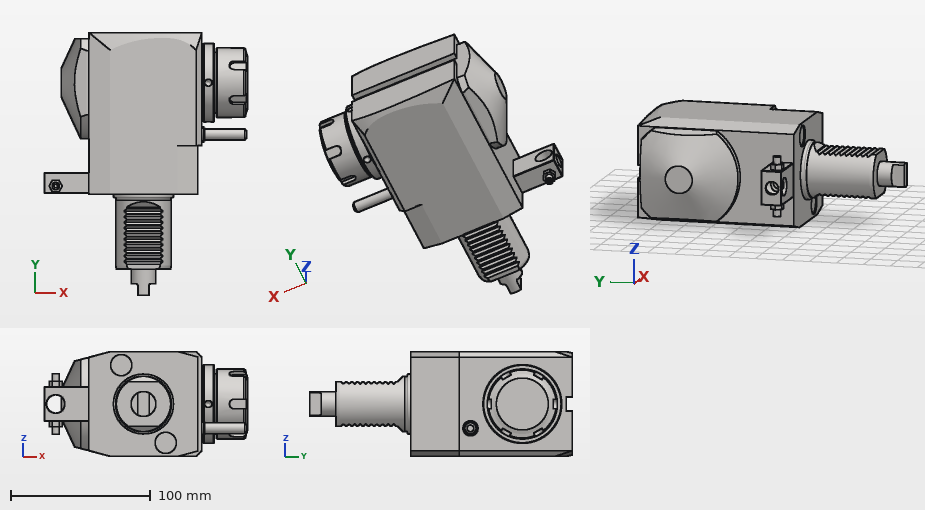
import cadquery as cq
import math


body_length = 115.8
half_height = 37.5
left_x = -39.0
right_x = 41.8
left_bevel_x = -24.0
bevel_angle = math.radians(15)
right_chamfer = 4.1
step_y = 35.0
step_bevel_x = 24.5
step_x = 39.0
bevel_slope = math.tan(bevel_angle)
left_edge_z = half_height - (left_bevel_x - left_x) * bevel_slope
step_edge_z = half_height - (step_x - step_bevel_x) * bevel_slope
right_edge_z = half_height - right_chamfer
slot_width = 9.8
slot_depth = 4.3

slope_apex = (24.4, 63.5, 50.4)
back_crown = [(-23.4, 34.9), (13.0, 36.5), (31.5, 35.5)]
slope_reach = 0.375
cutter_top = half_height + 5.0

recess_radius = 7.6
recess_depth = 1.0
recess_x = 15.9
recess_z = 27.8

spindle_y = 80.0
cap_radius = 40.2
cap_tip_radius = 10.0
cap_rim_x = -45.0
cap_tip_x = -59.0
cap_half_height = 33.0

shank_length = 53.4
shank_radius = 20.0
shank_end_chamfer = (2.6, 0.6)
collar_radius = 21.5
collar_width = 2.4
groove_radius = 19.6
groove_end = 4.0
flat_z = 16.0
flat_start = 5.2
tooth_pitch = 4.0
tooth_count = 10
first_root_y = -12.0
tooth_depth = 1.6
tooth_half_width = 1.8

tang_radius = 8.9
tang_shoulder_y = -64.0
tang_end_y = -72.2
tang_half_width = 4.1
tang_root_fillet = 1.0

block_end_x = -71.0
block_low_y = 0.7
block_width_y = 15.0
block_height = 25.0
block_edge_chamfer = 0.4
coolant_x = -62.8
coolant_radius = 6.5
inlet_y = 7.6
inlet_radius = 4.8
inlet_end_x = -50.0
passage_radius = 1.2
set_screw_y = 6.0
set_screw_radius = 2.65
set_screw_end_z = 21.8
screw_socket_across_corners = 3.0
screw_socket_depth = 2.0
screw_bore_radius = 2.0
screw_bore_end_z = 7.5
nut_across_corners = 9.5
nut_thickness = 3.9

ring_start_x = 42.8
ring_end_x = 50.5
ring_radius = 28.2
ring_edge = 0.5
ring_dimple_x = 46.4
ring_dimple_radius = 2.6
ring_dimple_depth = 2.6
ring_dimple_count = 4
ring_seat_radius = 27.0
neck_radius = 21.8
nut_start_x = 52.0
nut_start_radius = 24.2
nut_chamfer_x = 52.8
nut_radius = 25.1
nut_shoulder_x = 71.6
nut_edge_x = 73.0
nut_edge_radius = 24.3
nut_face_x = 73.6
nut_face_radius = 21.5
nose_end_x = 74.6
nose_end_radius = 18.6
key_count = 6
key_width = 7.0
key_start_x = 61.5
key_depth = 3.0

pin_y = 42.9
pin_z = -17.4
pin_radius = 4.0
pin_collar_radius = 5.4
pin_collar_end_x = 43.0
pin_neck_radius = 4.4
pin_neck_end_x = 44.0
pin_end_x = 74.0
pin_tip_chamfer = 1.6


def mirrored_outline(upper):
    """XZ outline closed by mirroring the upper points about Z = 0."""
    return upper + [(x, -z) for x, z in reversed(upper)]


def prism_y(points, y_start, y_end):
    """Extrude an XZ outline from y_start to y_end."""
    return (
        cq.Workplane("XZ", origin=(0, y_start, 0))
        .polyline(points).close().extrude(y_start - y_end)
    )


def box_between(low, high):
    """Axis-aligned box given by two opposite corners."""
    size = [b - a for a, b in zip(low, high)]
    return cq.Workplane("XY").box(*size, centered=False).translate(tuple(low))


def rod_x(radius, x_start, x_end, y, z=0.0):
    """Cylinder along X."""
    return cq.Workplane("YZ", origin=(x_start, y, z)).circle(radius).extrude(x_end - x_start)


def turned_about_spindle(profile):
    """Revolve (x, radius) points about the spindle axis."""
    points = [(x, spindle_y + radius) for x, radius in profile]
    return cq.Workplane("XY").polyline(points).close().revolve(
        360, (0, spindle_y, 0), (1, spindle_y, 0)
    )


def back_slope_cutter():
    """Volume above the conical slope that leads from the back face to the top."""
    base = [(left_x, left_edge_z), *back_crown, (right_x, right_edge_z)]

    def section(run):
        y = body_length + (slope_apex[1] - body_length) * run
        points = [
            cq.Vector(x + (slope_apex[0] - x) * run, y, z + (slope_apex[2] - z) * run)
            for x, z in base
        ]
        left, right = points[0], points[-1]
        left_top = cq.Vector(left.x, y, cutter_top)
        right_top = cq.Vector(right.x, y, cutter_top)
        return cq.Wire.assembleEdges([
            cq.Edge.makeSpline(points),
            cq.Edge.makeLine(right, right_top),
            cq.Edge.makeLine(right_top, left_top),
            cq.Edge.makeLine(left_top, left),
        ])

    sections = [section(0.0), section(slope_reach)]
    return cq.Workplane(obj=cq.Solid.makeLoft(sections, True))


def make_body():
    lower = prism_y(
        mirrored_outline([
            (left_x, left_edge_z), (left_bevel_x, half_height),
            (step_bevel_x, half_height), (step_x, step_edge_z),
        ]),
        0, step_y,
    )
    upper = prism_y(
        mirrored_outline([
            (left_x, left_edge_z), (left_bevel_x, half_height),
            (right_x - right_chamfer, half_height), (right_x, right_edge_z),
        ]),
        step_y, body_length,
    )
    cutter = back_slope_cutter()
    slot = box_between(
        (left_x, body_length - slot_depth, -slot_width / 2),
        (right_x, body_length, slot_width / 2),
    )
    recesses = (
        cq.Workplane("XZ")
        .pushPoints([(-recess_x, recess_z), (recess_x, -recess_z)])
        .circle(recess_radius).extrude(-recess_depth)
    )
    body = lower.union(upper).cut(cutter).cut(cutter.mirror("XY"))
    return body.cut(slot).cut(recesses)


def make_cap():
    """Cone cap trimmed by flats, by the bevel planes and at the slot floor."""
    cap = turned_about_spindle([
        (left_x, 0), (left_x, cap_radius), (cap_rim_x, cap_radius),
        (cap_tip_x, cap_tip_radius), (cap_tip_x, 0),
    ])
    flat_end_x = left_x - (left_edge_z - cap_half_height) / bevel_slope
    tip_z = left_edge_z - (left_x - cap_tip_x) * bevel_slope
    envelope = prism_y(
        mirrored_outline([
            (cap_tip_x, tip_z), (flat_end_x, cap_half_height), (left_x, cap_half_height),
        ]),
        spindle_y - cap_radius, body_length - slot_depth,
    )
    return cap.intersect(envelope)


def make_shank():
    """Collared round shank with a toothed flat on the top and the bottom."""
    chamfer_length, chamfer_depth = shank_end_chamfer
    blend_radius = (collar_radius - groove_radius) / 2
    blend_middle = collar_radius - blend_radius
    arc_drop = blend_radius * (1 - math.sqrt(0.5))
    shank = (
        cq.Workplane("XY")
        .lineTo(collar_radius, 0)
        .lineTo(collar_radius, -collar_width + blend_radius)
        .threePointArc(
            (collar_radius - arc_drop, -collar_width + arc_drop),
            (blend_middle, -collar_width),
        )
        .threePointArc(
            (groove_radius + arc_drop, -collar_width - arc_drop),
            (groove_radius, -collar_width - blend_radius),
        )
        .lineTo(groove_radius, -groove_end)
        .lineTo(shank_radius, -groove_end)
        .lineTo(shank_radius, -shank_length + chamfer_length)
        .lineTo(shank_radius - chamfer_depth, -shank_length)
        .lineTo(0, -shank_length)
        .close().revolve(360, (0, 0, 0), (0, 1, 0))
    )

    root_z = flat_z - tooth_depth
    ramp_rise = shank_radius - root_z
    teeth = [(-flat_start, shank_radius), (-flat_start - ramp_rise + tooth_depth, flat_z)]
    for index in range(tooth_count):
        root_y = first_root_y - index * tooth_pitch
        teeth += [
            (root_y + tooth_half_width, flat_z),
            (root_y, root_z),
            (root_y - tooth_half_width, flat_z),
        ]
    teeth += [(-shank_length, flat_z), (-shank_length, shank_radius)]
    cutter = (
        cq.Workplane("YZ").polyline(teeth).close().extrude(shank_radius, both=True)
    )
    return shank.cut(cutter).cut(cutter.mirror("XY"))


def make_tang():
    tang = cq.Workplane("XZ", origin=(0, -shank_length, 0)).circle(tang_radius).extrude(
        -shank_length - tang_end_y
    )
    for side in (-1, 1):
        clearance = box_between(
            (tang_half_width, tang_end_y, -tang_radius),
            (tang_radius, tang_shoulder_y, tang_radius),
        )
        clearance = clearance.edges("|Z and <X and >Y").fillet(tang_root_fillet)
        if side < 0:
            clearance = clearance.mirror("YZ")
        tang = tang.cut(clearance)
    return tang


def make_set_screw():
    """Nut and set screw standing on the top of the coolant block."""
    base = cq.Workplane("XY", origin=(coolant_x, set_screw_y, block_height / 2))
    nut = base.polygon(6, nut_across_corners).extrude(nut_thickness)
    screw = base.circle(set_screw_radius).extrude(set_screw_end_z - block_height / 2)
    screw = (
        screw.faces(">Z").workplane()
        .polygon(6, screw_socket_across_corners).cutBlind(-screw_socket_depth)
    )
    return nut.union(screw)


def make_coolant_block():
    block = box_between(
        (block_end_x, block_low_y, -block_height / 2),
        (left_x, block_low_y + block_width_y, block_height / 2),
    )
    block = block.edges("|X or <X").chamfer(block_edge_chamfer)
    through_hole = (
        cq.Workplane("XZ", origin=(coolant_x, 0, 0))
        .circle(coolant_radius).extrude(-2 * block_width_y)
    )
    inlet = rod_x(inlet_radius, block_end_x, inlet_end_x, inlet_y)
    passage = rod_x(passage_radius, inlet_end_x, left_x, inlet_y)
    screw_bore = (
        cq.Workplane("XY", origin=(coolant_x, set_screw_y, 0))
        .circle(screw_bore_radius).extrude(screw_bore_end_z, both=True)
    )
    block = block.cut(screw_bore).cut(through_hole).cut(inlet).cut(passage)
    screw = make_set_screw()
    return block.union(screw).union(screw.mirror("XY"))


def make_spindle_nose():
    """Bearing ring, neck and slotted clamping nut."""
    nose = turned_about_spindle([
        (right_x, 0), (right_x, ring_seat_radius), (ring_start_x, ring_seat_radius),
        (ring_start_x, ring_radius - ring_edge), (ring_start_x + ring_edge, ring_radius),
        (ring_end_x - ring_edge, ring_radius), (ring_end_x, ring_radius - ring_edge),
        (ring_end_x, neck_radius), (nut_start_x, neck_radius),
        (nut_start_x, nut_start_radius), (nut_chamfer_x, nut_radius),
        (nut_shoulder_x, nut_radius), (nut_edge_x, nut_edge_radius),
        (nut_face_x, nut_face_radius), (nose_end_x, nose_end_radius), (nose_end_x, 0),
    ])
    axis_start = (0, spindle_y, 0)
    axis_end = (1, spindle_y, 0)

    key_floor_y = spindle_y - nut_radius + key_depth
    key_center_x = key_start_x + key_width / 2
    key_sketch = cq.Workplane("XZ", origin=(0, key_floor_y, 0))
    key = key_sketch.center(key_center_x, 0).circle(key_width / 2).extrude(2 * key_depth)
    key = key.union(box_between(
        (key_center_x, key_floor_y - 2 * key_depth, -key_width / 2),
        (nut_face_x, key_floor_y, key_width / 2),
    ))
    for index in range(key_count):
        nose = nose.cut(key.rotate(axis_start, axis_end, index * 360 / key_count))

    dimple = cq.Workplane(obj=cq.Solid.makeCone(
        ring_dimple_radius, 0, ring_dimple_depth,
        pnt=cq.Vector(ring_dimple_x, spindle_y - ring_radius, 0), dir=cq.Vector(0, 1, 0),
    ))
    for index in range(ring_dimple_count):
        nose = nose.cut(dimple.rotate(axis_start, axis_end, index * 360 / ring_dimple_count))
    return nose


def make_locating_pin():
    collar = rod_x(pin_collar_radius, right_x, pin_collar_end_x, pin_y, pin_z)
    neck = rod_x(pin_neck_radius, pin_collar_end_x, pin_neck_end_x, pin_y, pin_z)
    pin = rod_x(pin_radius, pin_neck_end_x, pin_end_x, pin_y, pin_z)
    pin = pin.faces(">X").chamfer(pin_tip_chamfer)
    return collar.union(neck).union(pin)


result = make_body()
for component in (
    make_cap(), make_shank(), make_tang(), make_coolant_block(),
    make_spindle_nose(), make_locating_pin(),
):
    result = result.union(component)